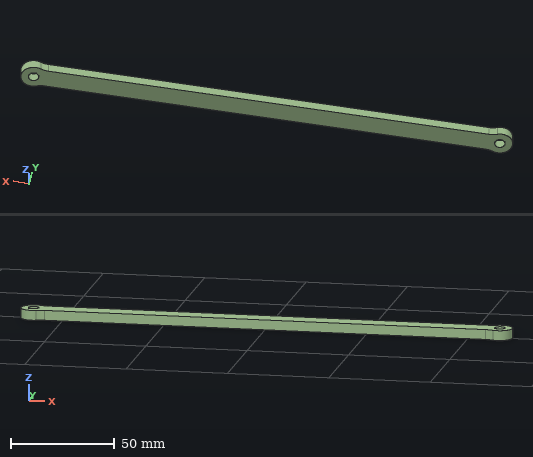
import cadquery as cq
import math

hole_spacing = 230.0
eye_radius = 6.25
hole_diameter = 5.0
bar_width = 10.0
thickness = 5.0
blend_radius = 10.0

eye_x = hole_spacing / 2
bar_half_width = bar_width / 2
blend_centre_y = bar_half_width + blend_radius
centre_distance = eye_radius + blend_radius
blend_length = math.sqrt(centre_distance**2 - blend_centre_y**2)
bar_end_x = eye_x - blend_length

touch_ratio = eye_radius / centre_distance
touch_x = eye_x - blend_length * touch_ratio
touch_y = blend_centre_y * touch_ratio

blend_start_angle = -math.pi / 2
blend_end_angle = math.atan2(touch_y - blend_centre_y, touch_x - bar_end_x)
blend_mid_angle = (blend_start_angle + blend_end_angle) / 2
blend_mid_x = bar_end_x + blend_radius * math.cos(blend_mid_angle)
blend_mid_y = blend_centre_y + blend_radius * math.sin(blend_mid_angle)


def make_link():
    """Flat bar with a rounded eye at each end, centred on the origin."""
    return (
        cq.Workplane("XY")
        .workplane(offset=-thickness / 2)
        .moveTo(-bar_end_x, bar_half_width)
        .lineTo(bar_end_x, bar_half_width)
        .threePointArc((blend_mid_x, blend_mid_y), (touch_x, touch_y))
        .threePointArc((eye_x + eye_radius, 0), (touch_x, -touch_y))
        .threePointArc((blend_mid_x, -blend_mid_y), (bar_end_x, -bar_half_width))
        .lineTo(-bar_end_x, -bar_half_width)
        .threePointArc((-blend_mid_x, -blend_mid_y), (-touch_x, -touch_y))
        .threePointArc((-eye_x - eye_radius, 0), (-touch_x, touch_y))
        .threePointArc((-blend_mid_x, blend_mid_y), (-bar_end_x, bar_half_width))
        .close()
        .extrude(thickness)
    )


def drill_eyes(link):
    """Drill a through hole at the centre of each eye."""
    return (
        link.faces(">Z")
        .workplane(origin=(0, 0, 0))
        .pushPoints([(-eye_x, 0), (eye_x, 0)])
        .hole(hole_diameter)
    )


result = drill_eyes(make_link())